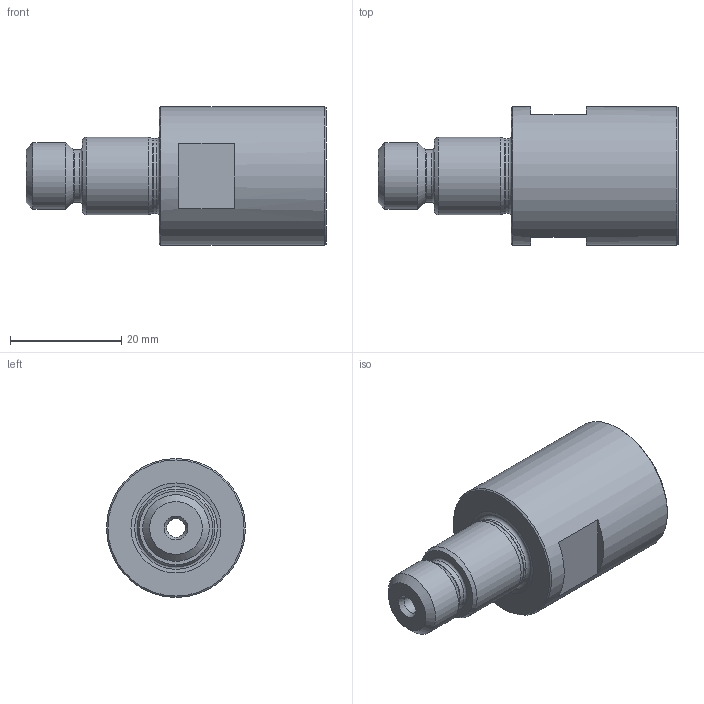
import cadquery as cq
import math


total_length = 54.0
shoulder_x = 24.0
neck_end_x = 10.1

pilot_radius = 6.0
pilot_chamfer = 1.25
pilot_end_x = 7.1

neck_radius = 4.75
neck_cone_angle = 40.0
neck_fillet = 0.4

shank_radius = 7.0
shank_chamfer_length = 0.7
shank_chamfer_depth = 0.4

relief_width = 2.0
relief_depth = 0.25
relief_slope_angle = 15.0
relief_fillet = 0.6
relief_face_radius = 8.1
relief_face_angle = 8.0

body_radius = 12.5
body_chamfer = 0.25
flat_distance = 22.0
flat_length = 10.0
flat_offset = 3.5

bore_diameter = 3.3
bore_mouth_diameter = 4.3
bore_mouth_half_angle = 30.0


def tan_deg(angle):
    return math.tan(math.radians(angle))


def arc_point(center, radius, angle):
    """Point on a circle in the (x, radius) half plane, angle in degrees from +X."""
    turn = math.radians(angle)
    return (center[0] + radius * math.cos(turn), center[1] + radius * math.sin(turn))


def add_fillet(profile, center, radius, start_angle, end_angle):
    """Draw a line to the start of a concave fillet, then the fillet arc itself."""
    middle_angle = (start_angle + end_angle) / 2
    profile = profile.lineTo(*arc_point(center, radius, start_angle))
    return profile.threePointArc(
        arc_point(center, radius, middle_angle),
        arc_point(center, radius, end_angle),
    )


def cone_fillet_center(cone_start_x, cone_depth, floor_radius, cone_angle, radius):
    """Centre of the fillet between a descending cone and a cylindrical floor."""
    corner_x = cone_start_x + cone_depth / tan_deg(cone_angle)
    return (corner_x + radius * tan_deg(cone_angle / 2), floor_radius + radius)


def add_neck(profile):
    cone_center = cone_fillet_center(
        pilot_end_x, pilot_radius - neck_radius, neck_radius, neck_cone_angle, neck_fillet
    )
    wall_center = (neck_end_x - neck_fillet, neck_radius + neck_fillet)
    profile = profile.lineTo(pilot_end_x, pilot_radius)
    profile = add_fillet(profile, cone_center, neck_fillet, -90 - neck_cone_angle, -90)
    return add_fillet(profile, wall_center, neck_fillet, -90, 0)


def add_relief(profile):
    floor_radius = shank_radius - relief_depth
    start_x = shoulder_x - relief_width
    slope_center = cone_fillet_center(
        start_x, relief_depth, floor_radius, relief_slope_angle, relief_fillet
    )
    center_radius = floor_radius + relief_fillet
    face_recess = (relief_face_radius - center_radius) * tan_deg(relief_face_angle)
    face_inset = relief_fillet / math.cos(math.radians(relief_face_angle))
    corner_center = (shoulder_x + face_recess - face_inset, center_radius)

    profile = profile.lineTo(start_x, shank_radius)
    profile = add_fillet(profile, slope_center, relief_fillet, -90 - relief_slope_angle, -90)
    profile = add_fillet(profile, corner_center, relief_fillet, -90, relief_face_angle)
    return profile.lineTo(shoulder_x, relief_face_radius)


def make_turned_body():
    profile = cq.Workplane("XY").moveTo(0, 0)
    profile = profile.lineTo(0, pilot_radius - pilot_chamfer)
    profile = profile.lineTo(pilot_chamfer, pilot_radius)
    profile = add_neck(profile)
    profile = profile.lineTo(neck_end_x, shank_radius - shank_chamfer_depth)
    profile = profile.lineTo(neck_end_x + shank_chamfer_length, shank_radius)
    profile = add_relief(profile)
    profile = profile.lineTo(shoulder_x, body_radius - body_chamfer)
    profile = profile.lineTo(shoulder_x + body_chamfer, body_radius)
    profile = profile.lineTo(total_length - body_chamfer, body_radius)
    profile = profile.lineTo(total_length, body_radius - body_chamfer)
    profile = profile.lineTo(total_length, 0).close()
    return profile.revolve(360, (0, 0, 0), (1, 0, 0))


def make_bore():
    bore_radius = bore_diameter / 2
    mouth_radius = bore_mouth_diameter / 2
    mouth_depth = (mouth_radius - bore_radius) / tan_deg(bore_mouth_half_angle)
    profile = cq.Workplane("XY").moveTo(0, 0)
    profile = profile.lineTo(0, mouth_radius)
    profile = profile.lineTo(mouth_depth, bore_radius)
    profile = profile.lineTo(total_length, bore_radius)
    profile = profile.lineTo(total_length, 0).close()
    return profile.revolve(360, (0, 0, 0), (1, 0, 0))


def make_flat_cutter(side):
    """Block that removes the body beyond one wrench flat; side is +1 or -1 along Y."""
    cut_depth = body_radius
    flat_center_x = shoulder_x + flat_offset + flat_length / 2
    block_center_y = side * (flat_distance / 2 + cut_depth / 2)
    block = cq.Workplane("XY").box(flat_length, cut_depth, 2 * body_radius)
    return block.translate((flat_center_x, block_center_y, 0))


result = make_turned_body().cut(make_bore())
for flat_side in (1, -1):
    result = result.cut(make_flat_cutter(flat_side))